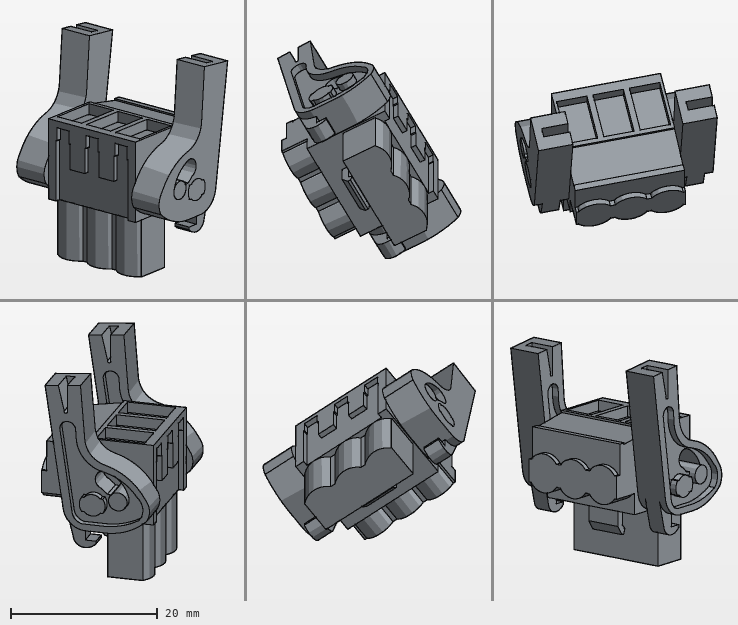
import cadquery as cq
import math


pole_count = 3
pitch = 5.08
pole_positions = [(i - (pole_count - 1) / 2) * pitch for i in range(pole_count)]

housing_width = pole_count * pitch
housing_height = 11.61
body_depth = 12.05
top_depth = 8.93
roof_low_y = 14.35
roof_low_z = 10.35
roof_high_z = 11.3
ridge_z = 10.58
back_y = 15.25
rear_floor_z = 2.95

entry_end_y = 16.02
entry_radius = 2.74
entry_z = 4.57
entry_band_top = 6.2

plug_length = 8.39
plug_back_y = 6.63
plug_flat_y = 1.63
plug_front_y = 0.74
lobe_width = 4.34
plug_side_margin = 0.1
plug_width = (pole_count - 1) * pitch + lobe_width + 2 * plug_side_margin

tab_width = pitch
tab_front_y = 8.37
tab_back_y = 9.37
tab_bend_z = -3.0
tab_nose = (7.85, -3.6)
tab_bottom_z = -4.34
tab_bottom_front_y = 8.1
tab_bottom_back_y = 8.5

recess_depth = plug_front_y
recess_width = 12.55
recess_height = 5.09
tooth_wide = 2.53
tooth_wide_top = 8.73
tooth_narrow = 2.16
tooth_narrow_top = 10.63

pocket_width = 4.22
pocket_front_y = 1.42
pocket_back_y = 8.28
button_gap = 0.12
button_sink = 1.5
button_height = 4.0
button_top_z = housing_height - button_sink
pocket_floor_z = button_top_z - button_height

overall_width = 24.94
lever_width = 4.8
lever_recess_depth = 1.02
grip_slot_depth = 3.65
grip_slot_front_y = 10.82
grip_slot_open_z = 22
hook_offset = 1.14
hook_width = 2.5
hook_ledge_z = -1.79
hook_stem_front_y = 8.61
hook_barb_y = 7.08
hook_root_z = 0.5

grip_back_top = (14.0, 20.6)
grip_front_top = (8.94, 21.13)
grip_front_foot = (8.34, 13.40)
cam_top = (5.29, 9.86)
cam_nose_start = (-0.55, 5.1)
cam_nose_end = (-0.45, 2.32)
cam_bottom_front = (5.42, 0)
cam_bottom_back = (8.1, 0)
grip_back_foot = (11.42, 2.87)

pivot_y = 7.28
pivot_z = 3.84
pivot_radius = 1.56
pivot_ear_radius = 1.83
pivot_ear_height = 2.08
guide_radius = 1.32
guide_swing = 3.76
guide_angle = 166
slot_end_angle = 112.5
catch_corner = (5.42, 5.3)
catch_tip = (4.85, 5.22)

post_length = (overall_width - housing_width) / 2
lever_starts = (-overall_width / 2, overall_width / 2 - lever_width)


def box(x0, x1, y0, y1, z0, z1):
    """Box between two opposite corners."""
    return cq.Workplane("XY").box(x1 - x0, y1 - y0, z1 - z0, centered=False).translate((x0, y0, z0))


def centred_box(x, width, y0, y1, z0, z1):
    """Box of a given width centred on x."""
    return box(x - width / 2, x + width / 2, y0, y1, z0, z1)


def side_plane(x):
    """Workplane at x whose local axes are Y and Z and whose normal is +X."""
    return cq.Workplane("YZ", origin=(x, 0, 0))


def around_pivot(radius, angle):
    """(Y, Z) point at a distance and direction from the pivot."""
    turn = math.radians(angle)
    return (pivot_y + radius * math.cos(turn), pivot_z + radius * math.sin(turn))


def pivot_shape(x, length):
    """Round pivot with an ear to the front and the back, cut from a larger disc."""
    centre = side_plane(x).center(pivot_y, pivot_z)
    disc = centre.circle(pivot_radius).extrude(length)
    ear_disc = centre.circle(pivot_ear_radius).extrude(length)
    ear_band = centre.rect(2 * pivot_ear_radius, pivot_ear_height).extrude(length)
    return disc.union(ear_disc.intersect(ear_band))


def guide_post(x, length):
    """Round post that rides in the lever's guide slot."""
    return side_plane(x).center(*around_pivot(guide_swing, guide_angle)).circle(guide_radius).extrude(length)


def guide_slot(x, length):
    """Slot about the pivot: arc on the outside, straight inside, a small catch before the post seat."""
    inner = guide_swing - guide_radius
    outer = guide_swing + guide_radius
    middle_angle = (guide_angle + slot_end_angle) / 2
    cap_angle = slot_end_angle - math.degrees(guide_radius / guide_swing)
    track = (
        side_plane(x)
        .moveTo(*around_pivot(guide_swing, guide_angle))
        .lineTo(*around_pivot(outer, guide_angle))
        .threePointArc(around_pivot(outer, middle_angle), around_pivot(outer, slot_end_angle))
        .threePointArc(around_pivot(guide_swing, cap_angle), around_pivot(inner, slot_end_angle))
        .lineTo(*catch_corner)
        .lineTo(*catch_tip)
        .close()
        .extrude(length)
    )
    return track.union(guide_post(x, length))


def housing_block():
    """Main block with the sloping roof and the rear overhang."""
    return (
        side_plane(-housing_width / 2)
        .moveTo(0, 0)
        .lineTo(0, housing_height)
        .lineTo(top_depth, housing_height)
        .lineTo(top_depth, roof_high_z)
        .lineTo(roof_low_y, roof_low_z)
        .lineTo(roof_low_y, ridge_z)
        .lineTo(back_y, ridge_z)
        .lineTo(back_y, rear_floor_z)
        .lineTo(body_depth, rear_floor_z)
        .lineTo(body_depth, 0)
        .close()
        .extrude(housing_width)
    )


def wire_entries():
    """Round wire entries along Y, joined by a band across the back."""
    entries = centred_box(0, housing_width, back_y, entry_end_y, rear_floor_z, entry_band_top)
    for x in pole_positions:
        barrel = (
            cq.Workplane("XZ", origin=(x, body_depth, entry_z))
            .circle(entry_radius)
            .extrude(body_depth - entry_end_y)
        )
        entries = entries.union(barrel)
    return entries.intersect(centred_box(0, housing_width, body_depth, entry_end_y, 0, housing_height))


def plug_block():
    """Block under the housing with one rounded lobe per pole on its front."""
    half = plug_width / 2
    profile = cq.Workplane("XY").moveTo(-half, plug_back_y).lineTo(-half, plug_flat_y)
    for x in pole_positions:
        profile = profile.lineTo(x - lobe_width / 2, plug_flat_y)
        profile = profile.threePointArc((x, plug_front_y), (x + lobe_width / 2, plug_flat_y))
    return profile.lineTo(half, plug_flat_y).lineTo(half, plug_back_y).close().extrude(-plug_length)


def front_recess():
    """Shallow front recess, open at the bottom, with a stepped tooth above each pole."""
    recess = centred_box(0, recess_width, 0, recess_depth, 0, recess_height)
    for x in pole_positions:
        recess = recess.union(centred_box(x, tooth_wide, 0, recess_depth, 0, tooth_wide_top))
        recess = recess.union(centred_box(x, tooth_narrow, 0, recess_depth, 0, tooth_narrow_top))
    return recess.intersect(centred_box(0, recess_width, 0, recess_depth, 0, housing_height))


def bottom_tab():
    """Bent tab hanging from the underside behind the plug block."""
    return (
        side_plane(-tab_width / 2)
        .moveTo(tab_front_y, 0)
        .lineTo(tab_front_y, tab_bend_z)
        .lineTo(*tab_nose)
        .lineTo(tab_bottom_front_y, tab_bottom_z)
        .lineTo(tab_bottom_back_y, tab_bottom_z)
        .lineTo(tab_back_y, tab_bend_z)
        .lineTo(tab_back_y, 0)
        .close()
        .extrude(tab_width)
    )


def make_housing():
    housing = housing_block().union(wire_entries()).union(plug_block()).union(bottom_tab())
    housing = housing.cut(front_recess())
    for x in pole_positions:
        pocket = centred_box(x, pocket_width, pocket_front_y, pocket_back_y, pocket_floor_z, housing_height)
        housing = housing.cut(pocket)
    for x in (-overall_width / 2, housing_width / 2):
        housing = housing.union(pivot_shape(x, post_length)).union(guide_post(x, post_length))
    return housing


def make_button(x):
    button_back_y = pocket_back_y - button_gap
    return centred_box(x, pocket_width, pocket_front_y, button_back_y, pocket_floor_z, button_top_z)


def lever_plate(x):
    """Full-width lever outline: straight grip above a rounded cam."""
    return (
        side_plane(x)
        .moveTo(*grip_back_top)
        .lineTo(*grip_front_top)
        .lineTo(*grip_front_foot)
        .threePointArc((7.4, 11.1), cam_top)
        .threePointArc((2.5, 8.56), (-0.13, 5.76))
        .lineTo(*cam_nose_start)
        .threePointArc((-0.89, 3.85), cam_nose_end)
        .threePointArc((2.42, 0.54), cam_bottom_front)
        .lineTo(*cam_bottom_back)
        .threePointArc((10.3, 0.82), grip_back_foot)
        .close()
        .extrude(lever_width)
    )


def lever_recess(x):
    """Recess that leaves a rim along the lever outline."""
    return (
        side_plane(x)
        .moveTo(11.9, 14.57)
        .threePointArc((10.74, 15.67), (9.64, 14.72))
        .lineTo(9.57, 13.62)
        .threePointArc((8.58, 10.7), (5.73, 8.88))
        .threePointArc((3.29, 7.93), (0.84, 5.64))
        .threePointArc((0.05, 3.82), (0.68, 2.32))
        .threePointArc((2.58, 1.48), (5.1, 0.98))
        .lineTo(8.74, 0.98)
        .threePointArc((9.68, 1.53), (10.13, 2.4))
        .close()
        .extrude(lever_recess_depth)
    )


def grip_slot(x):
    """Tapered slot with a round bottom in the end of the grip."""
    return (
        side_plane(x)
        .moveTo(12.38, grip_slot_open_z)
        .lineTo(11.26, 17.15)
        .threePointArc((11.04, 16.85), (grip_slot_front_y, 17.1))
        .lineTo(grip_slot_front_y, grip_slot_open_z)
        .close()
        .extrude(grip_slot_depth)
    )


def lever_hook(x):
    """Barbed hook under the lever."""
    return (
        side_plane(x + hook_offset)
        .moveTo(*grip_back_foot)
        .lineTo(10.24, -1.86)
        .threePointArc((9.7, -2.55), (8.73, -2.9))
        .threePointArc((7.9, -2.75), (hook_barb_y, -2.18))
        .lineTo(hook_barb_y, hook_ledge_z)
        .lineTo(hook_stem_front_y, hook_ledge_z)
        .lineTo(hook_stem_front_y, hook_root_z)
        .close()
        .extrude(hook_width)
    )


def make_lever(x):
    lever = lever_plate(x).union(lever_hook(x))
    lever = lever.cut(lever_recess(x)).cut(grip_slot(x))
    return lever.cut(guide_slot(x, lever_width)).cut(pivot_shape(x, lever_width))


housing = make_housing()
buttons = [make_button(x) for x in pole_positions]
levers = [make_lever(x) for x in lever_starts]

result = cq.Compound.makeCompound(
    [housing.val()] + [button.val() for button in buttons] + [lever.val() for lever in levers]
)